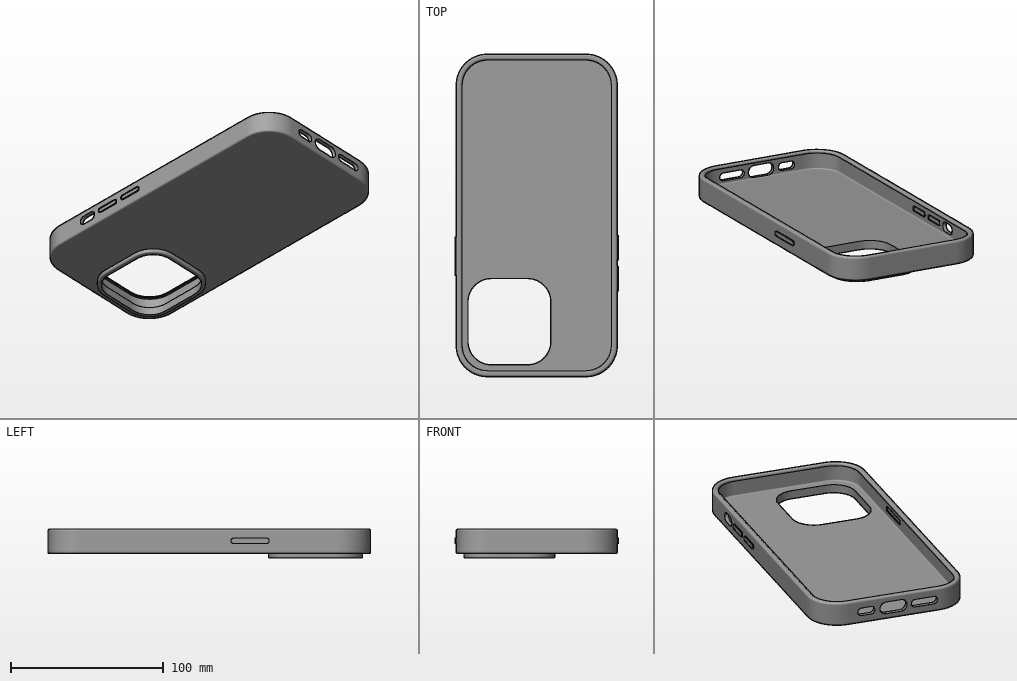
import cadquery as cq

CASE_WIDTH = 105.7
CASE_LENGTH = 211.44
FRONT_END_Y = -CASE_LENGTH / 2
OVERALL_WIDTH = 107.11
OVERALL_HEIGHT = 19.13
CAMERA_RIM_DROP = 2.9
CASE_HEIGHT = OVERALL_HEIGHT - CAMERA_RIM_DROP
CORNER_RADIUS = 20.6
TOP_EDGE_RADIUS = 1.5
BOTTOM_EDGE_RADIUS = 1.3

WALL = 2.7
FLOOR = 3.0
FLOOR_FILLET = 0.85
LIP_OVERHANG = 1.3
LIP_EDGE_RADIUS = 1.3
LIP_THICKNESS = 1.75

CAMERA_X = -17.9
CAMERA_Y = FRONT_END_Y + 36.15
CAMERA_OPENING_WIDTH = 54.1
CAMERA_OPENING_LENGTH = 56.3
CAMERA_OPENING_RADIUS = 15.1
CAMERA_RIM_WALL = 2.7
CAMERA_RIM_EDGE_RADIUS = 0.9

BUTTON_Z = 8.4
BUTTON_HEIGHT = 3.4
BUTTON_PROUD = (OVERALL_WIDTH - CASE_WIDTH) / 2
BUTTON_CORNER_RADIUS = 1.5
BUTTON_RECESS_DEPTH = BUTTON_PROUD
VOLUME_BUTTON_LENGTH = 16.0
VOLUME_BUTTONS_Y = (FRONT_END_Y + 64.4, FRONT_END_Y + 84.7)
POWER_BUTTON_LENGTH = 24.9
POWER_BUTTON_Y = FRONT_END_Y + 79.0

SWITCH_Y = FRONT_END_Y + 45.8
SWITCH_LENGTH = 12.6
SWITCH_HEIGHT = 6.5

PORT_Z = 8.1
PORTS = (
    (-21.3, 18.4, 5.4),
    (0.4, 18.9, 8.4),
    (19.4, 12.0, 5.4),
)


def rounded_block(width, length, height, radius, z=0):
    """Upright block with rounded vertical corners, standing on the plane z."""
    block = cq.Workplane("XY").workplane(offset=z).rect(width, length).extrude(height)
    return block.edges("|Z").fillet(radius)


def inset_block(inset, height, z):
    """Block following the case outline, moved inwards by inset."""
    return rounded_block(
        CASE_WIDTH - 2 * inset, CASE_LENGTH - 2 * inset, height, CORNER_RADIUS - inset, z
    )


def make_phone_space():
    phone = inset_block(WALL, CASE_HEIGHT - LIP_THICKNESS - FLOOR, FLOOR)
    return phone.faces("<Z").edges().fillet(FLOOR_FILLET)


def make_shell():
    """Tray whose top lip overhangs the phone space."""
    shell = inset_block(0, CASE_HEIGHT, 0)
    shell = shell.faces(">Z").edges().fillet(TOP_EDGE_RADIUS)
    shell = shell.faces("<Z").edges().fillet(BOTTOM_EDGE_RADIUS)
    mouth = inset_block(WALL + LIP_OVERHANG, CASE_HEIGHT - FLOOR, FLOOR)
    shell = shell.cut(mouth)
    mouth_edges = cq.selectors.BoxSelector(
        (-CASE_WIDTH / 2 + WALL, FRONT_END_Y + WALL, CASE_HEIGHT - LIP_EDGE_RADIUS / 2),
        (CASE_WIDTH / 2 - WALL, CASE_LENGTH / 2 - WALL, CASE_HEIGHT + LIP_EDGE_RADIUS / 2),
    )
    shell = shell.edges(mouth_edges).fillet(LIP_EDGE_RADIUS)
    return shell.cut(make_phone_space())


def make_camera_rim():
    width = CAMERA_OPENING_WIDTH + 2 * CAMERA_RIM_WALL
    length = CAMERA_OPENING_LENGTH + 2 * CAMERA_RIM_WALL
    radius = CAMERA_OPENING_RADIUS + CAMERA_RIM_WALL
    rim = rounded_block(width, length, CAMERA_RIM_DROP + FLOOR / 2, radius, -CAMERA_RIM_DROP)
    rim = rim.faces("<Z").edges().fillet(CAMERA_RIM_EDGE_RADIUS)
    return rim.translate((CAMERA_X, CAMERA_Y, 0))


def make_camera_opening():
    opening = rounded_block(
        CAMERA_OPENING_WIDTH,
        CAMERA_OPENING_LENGTH,
        CAMERA_RIM_DROP + CASE_HEIGHT,
        CAMERA_OPENING_RADIUS,
        -CAMERA_RIM_DROP,
    )
    return opening.translate((CAMERA_X, CAMERA_Y, 0))


def make_side_bar(length, y, x_start, x_end):
    """Bar along Y with rounded ends, spanning x_start to x_end at button height."""
    bar = cq.Workplane("YZ").workplane(offset=x_start).center(y, BUTTON_Z)
    bar = bar.rect(length, BUTTON_HEIGHT).extrude(x_end - x_start)
    return bar.edges("|X").fillet(BUTTON_CORNER_RADIUS)


def add_button(case, length, y, on_left=False):
    outer_face = CASE_WIDTH / 2
    inner_face = outer_face - WALL
    mid_wall = outer_face - WALL / 2
    pad = make_side_bar(length, y, mid_wall, outer_face + BUTTON_PROUD)
    recess = make_side_bar(length, y, inner_face, inner_face + BUTTON_RECESS_DEPTH)
    if on_left:
        pad = pad.mirror("YZ")
        recess = recess.mirror("YZ")
    return case.union(pad).cut(recess)


def cut_switch(case):
    slot = cq.Workplane("YZ").center(SWITCH_Y, BUTTON_Z).slot2D(SWITCH_LENGTH, SWITCH_HEIGHT)
    return case.cut(slot.extrude(CASE_WIDTH))


def cut_port(case, x, length, height):
    slot = cq.Workplane("XZ").center(x, PORT_Z).slot2D(length, height)
    return case.cut(slot.extrude(-CASE_LENGTH))


result = make_shell().union(make_camera_rim()).cut(make_camera_opening())
for button_y in VOLUME_BUTTONS_Y:
    result = add_button(result, VOLUME_BUTTON_LENGTH, button_y)
result = add_button(result, POWER_BUTTON_LENGTH, POWER_BUTTON_Y, on_left=True)
result = cut_switch(result)
for port_x, port_length, port_height in PORTS:
    result = cut_port(result, port_x, port_length, port_height)